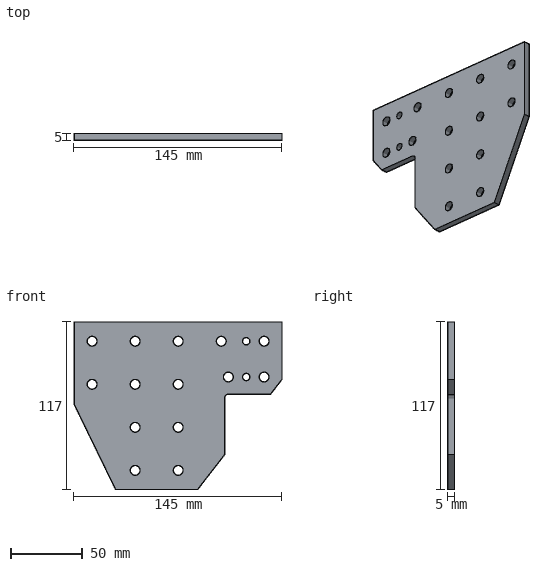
import cadquery as cq

width = 145.0
height = 117.0
thickness = 5.0
left_edge_height = 57.7
foot_left = 28.9
foot_right = 86.0
stem_right = 105.0
stem_corner_depth = 92.5
arm_depth = 50.5
arm_corner_width = 8.1
arm_corner_height = 10.5
inner_corner_radius = 2.5

bolt_diameter = 6.7
pin_diameter = 5.0
pitch = 30.0
grid_left = 12.5
grid_top = 13.5
arm_hole_right = 132.4
arm_column_pitch = 12.5
arm_row_pitch = 25.0

outline = [
    (0, 0),
    (width, 0),
    (width, -(arm_depth - arm_corner_height)),
    (width - arm_corner_width, -arm_depth),
    (stem_right, -arm_depth),
    (stem_right, -stem_corner_depth),
    (foot_right, -height),
    (foot_left, -height),
    (0, -left_edge_height),
]

holes_per_column = [2, 4, 4, 1]
bolt_points = [
    (grid_left + column * pitch, -(grid_top + row * pitch))
    for column, row_count in enumerate(holes_per_column)
    for row in range(row_count)
]

arm_lower_row = -(grid_top + arm_row_pitch)
pin_x = arm_hole_right - arm_column_pitch
bolt_points += [
    (arm_hole_right, -grid_top),
    (arm_hole_right, arm_lower_row),
    (pin_x - arm_column_pitch, arm_lower_row),
]
pin_points = [(pin_x, -grid_top), (pin_x, arm_lower_row)]


def through_holes(points, diameter):
    """Cylinders that cross the full plate thickness."""
    return cq.Workplane("XZ").pushPoints(points).circle(diameter / 2).extrude(thickness)


plate = cq.Workplane("XZ").polyline(outline).close().extrude(thickness)

inner_corner = cq.selectors.NearestToPointSelector((stem_right, -thickness / 2, -arm_depth))
plate = plate.edges("|Y").edges(inner_corner).fillet(inner_corner_radius)

result = plate.cut(through_holes(bolt_points, bolt_diameter))
result = result.cut(through_holes(pin_points, pin_diameter))